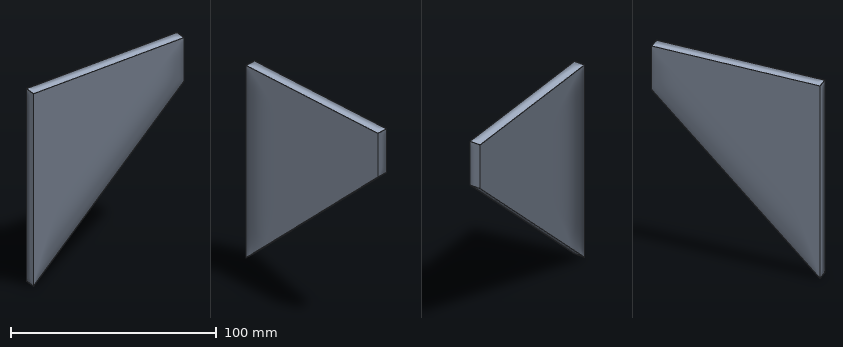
import cadquery as cq

thickness = 6.0
depth = 90.0
height = 110.0
short_edge = 25.0

outline = [
    (0, 0),
    (0, height),
    (depth, height),
    (depth, height - short_edge),
]

result = cq.Workplane("YZ").polyline(outline).close().extrude(thickness)